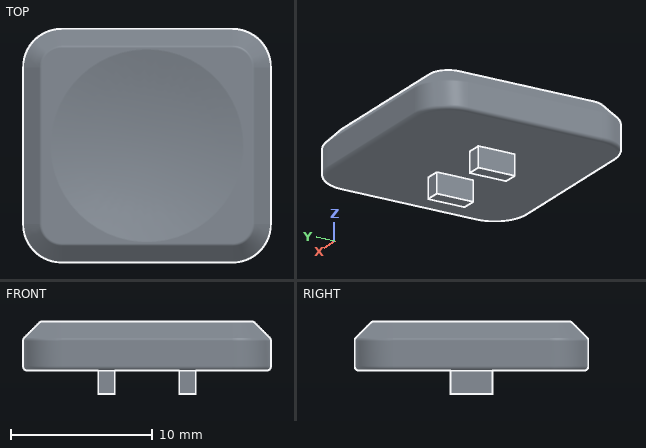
import cadquery as cq

length_x = 17.55
width_y = 16.55
total_height = 5.15
stem_height = 1.65
body_height = total_height - stem_height
corner_radius = 2.74

top_chamfer = 1.25
chamfer_blend_radius = 0.26
bottom_fillet = 0.32

dish_radius = 6.81
dish_depth = 0.8
dish_rim_fillet = 0.26

stem_size_x = 1.2
stem_size_y = 3.0
stem_spacing = 5.72


def make_body():
    """Rounded block with a blended 45 degree top chamfer and a rounded bottom edge."""
    body = (
        cq.Workplane("XY")
        .box(length_x, width_y, body_height, centered=(True, True, False))
        .edges("|Z")
        .fillet(corner_radius)
    )
    body = body.faces(">Z").edges().chamfer(top_chamfer)
    chamfer_base = cq.selectors.BoxSelector(
        (-length_x, -width_y, body_height - top_chamfer - chamfer_blend_radius),
        (length_x, width_y, body_height - top_chamfer + chamfer_blend_radius),
    )
    body = body.edges(chamfer_base).fillet(chamfer_blend_radius)
    body = body.faces(">Z").edges().fillet(chamfer_blend_radius)
    return body.faces("<Z").edges().fillet(bottom_fillet)


def cut_dish(body):
    """Sink a shallow spherical dish into the top and soften its rim."""
    sphere_radius = (dish_radius**2 + dish_depth**2) / (2 * dish_depth)
    sphere_center_z = body_height - dish_depth + sphere_radius
    sphere = cq.Workplane("XY").sphere(sphere_radius).translate((0, 0, sphere_center_z))
    dished = body.cut(sphere)
    rim = dished.faces(">Z").edges(cq.selectors.RadiusNthSelector(-1))
    return rim.fillet(dish_rim_fillet)


def make_stems():
    """Pair of plain posts that reach from the underside to the lowest plane."""
    return (
        cq.Workplane("XY")
        .rarray(stem_spacing, 0.18, 2, 1)
        .rect(stem_size_x, stem_size_y)
        .extrude(-stem_height)
    )


result = cut_dish(make_body()).union(make_stems())